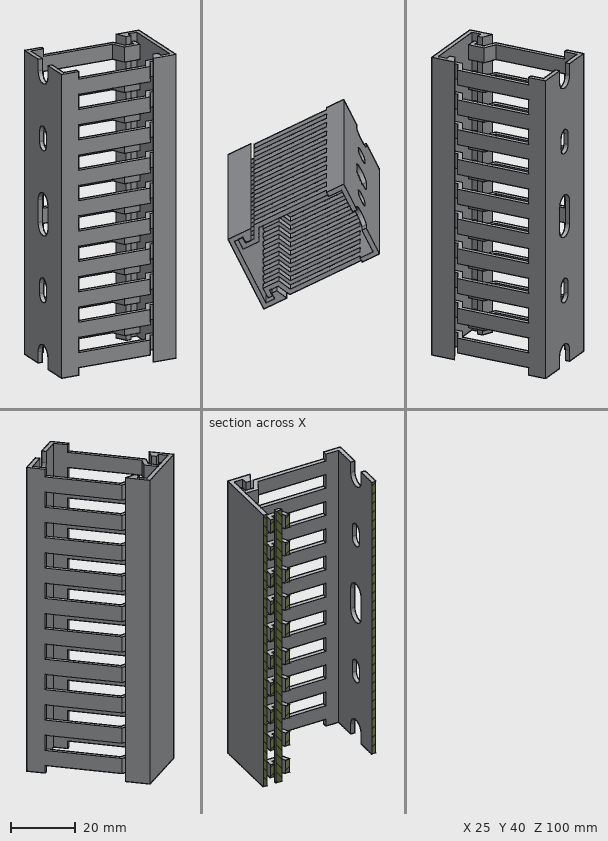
import cadquery as cq
import math

WIDTH = 25.0
DEPTH = 40.0
LENGTH = 100.0
WALL = 1.5

FINGER_PITCH = 10.0
SLIT_HEIGHT = 5.0
SLIT_START = 6.0
FINGER_TIP = 37.5
SHOULDER = 31.0
NECK_INSET = 4.0
SHOULDER_SLOPE = 0.5
HOOK_THICKNESS = 1.5
CLEARANCE = 0.5

COVER_EDGE = 32.0

LARGE_SLOT = (6.5, 14.0)
SMALL_SLOT = (4.5, 8.0)
LARGE_SLOT_HEIGHTS = [0, LENGTH / 2, LENGTH]
SMALL_SLOT_HEIGHTS = [LENGTH / 4, LENGTH * 3 / 4]

HALF_WIDTH = WIDTH / 2
INNER_HALF_WIDTH = HALF_WIDTH - WALL
NECK_OUTSIDE = HALF_WIDTH - NECK_INSET
HOOK_UNDERSIDE = FINGER_TIP - HOOK_THICKNESS


def mirrored_extrusion(right_half):
    """Join the +X half of an outline to its mirror image and extrude it over the full length."""
    left_half = [(-x, y) for x, y in reversed(right_half)]
    return cq.Workplane("XY").polyline(right_half + left_half).close().extrude(LENGTH)


def channel():
    """Duct section without openings; its wall keeps the same thickness around the shoulders."""
    turn = math.pi / 2 - math.atan(SHOULDER_SLOPE)
    inner_drop = WALL * math.tan(turn / 2)
    neck_inside = NECK_OUTSIDE - WALL
    neck_start = SHOULDER + SHOULDER_SLOPE * NECK_INSET
    hook_end = INNER_HALF_WIDTH - CLEARANCE
    return mirrored_extrusion([
        (HALF_WIDTH, 0),
        (HALF_WIDTH, SHOULDER),
        (NECK_OUTSIDE, neck_start),
        (NECK_OUTSIDE, HOOK_UNDERSIDE),
        (hook_end, HOOK_UNDERSIDE),
        (hook_end, FINGER_TIP),
        (neck_inside, FINGER_TIP),
        (neck_inside, neck_start - inner_drop),
        (INNER_HALF_WIDTH, SHOULDER - inner_drop),
        (INNER_HALF_WIDTH, WALL),
    ])


def finger_slits():
    """Openings across both sides; the first and last are halved by the end faces."""
    slit_count = round(LENGTH / FINGER_PITCH) + 1
    slit_depth = FINGER_TIP - SLIT_START
    centers = [
        (0, SLIT_START + slit_depth / 2, i * FINGER_PITCH)
        for i in range(slit_count)
    ]
    return cq.Workplane("XY").pushPoints(centers).box(WIDTH, slit_depth, SLIT_HEIGHT)


def mounting_slots(size, heights):
    """Upright round-ended slots through the base, centred on the given heights."""
    width, length = size
    centers = [(0, height) for height in heights]
    return (
        cq.Workplane("XZ")
        .pushPoints(centers)
        .slot2D(length, width, 90)
        .extrude(-WALL)
    )


def make_duct():
    return (
        channel()
        .cut(finger_slits())
        .cut(mounting_slots(LARGE_SLOT, LARGE_SLOT_HEIGHTS))
        .cut(mounting_slots(SMALL_SLOT, SMALL_SLOT_HEIGHTS))
    )


def make_cover():
    """Shallow channel whose lips snap behind the hooks, with undersides parallel to the shoulders."""
    lip_end = NECK_OUTSIDE + CLEARANCE
    lip_top = HOOK_UNDERSIDE - CLEARANCE
    lip_corner = COVER_EDGE + SHOULDER_SLOPE * (HALF_WIDTH - lip_end)
    return mirrored_extrusion([
        (HALF_WIDTH, DEPTH),
        (HALF_WIDTH, COVER_EDGE),
        (lip_end, lip_corner),
        (lip_end, lip_top),
        (INNER_HALF_WIDTH, lip_top),
        (INNER_HALF_WIDTH, DEPTH - WALL),
    ])


duct = make_duct()
cover = make_cover()

result = cq.Compound.makeCompound([duct.val(), cover.val()])